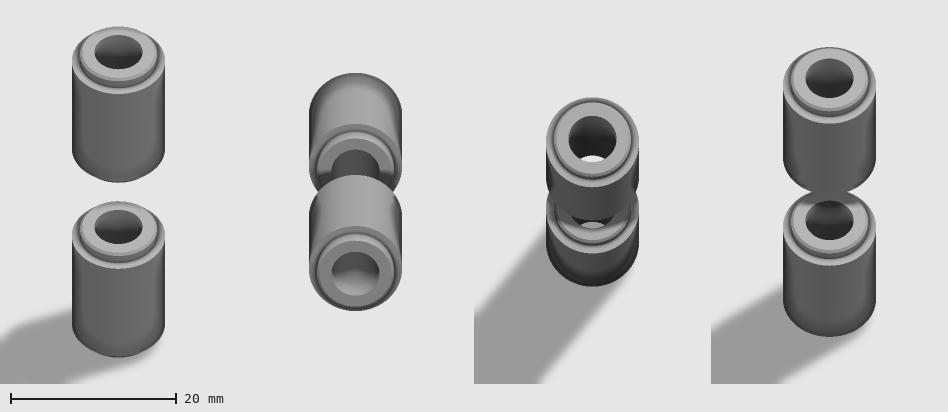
import cadquery as cq

sleeve_diameter = 11.3
neck_diameter = 9.3
bore_diameter = 5.8
total_height = 48.0
bushing_length = 18.0
neck_length = 1.5
neck_chamfer = 0.3
bushing_count = 2

sleeve_length = bushing_length - 2 * neck_length
bushing_pitch = (total_height - bushing_length) / (bushing_count - 1)


def make_bushing(base_z):
    """Bored sleeve with a chamfered, narrower neck at each end."""
    core = (
        cq.Workplane("XY")
        .circle(neck_diameter / 2)
        .extrude(bushing_length)
        .faces("<Z or >Z")
        .edges()
        .chamfer(neck_chamfer)
    )
    sleeve = (
        cq.Workplane("XY")
        .workplane(offset=neck_length)
        .circle(sleeve_diameter / 2)
        .extrude(sleeve_length)
    )
    bore = cq.Workplane("XY").circle(bore_diameter / 2).extrude(bushing_length)
    return core.union(sleeve).cut(bore).translate((0, 0, base_z))


bushings = [make_bushing(index * bushing_pitch) for index in range(bushing_count)]

result = cq.Compound.makeCompound([bushing.solids().val() for bushing in bushings])